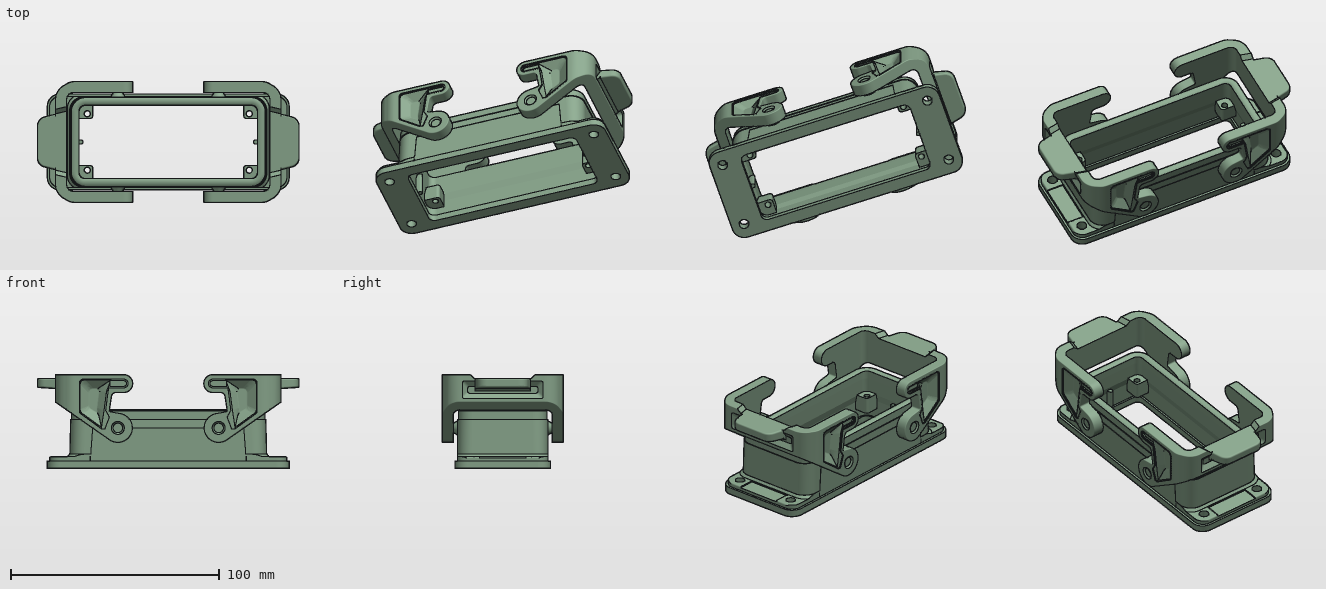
import cadquery as cq
import math


FLANGE_LENGTH = 116.0
FLANGE_WIDTH = 46.0
FLANGE_HEIGHT = 3.5
FLANGE_RADIUS = 6.0
EAR_END = 56.9
EAR_START = 37.5
EAR_TOP = 5.6
EAR_RADIUS = 5.0
EAR_EDGE_ROUND = 0.8
EAR_RECESS_WIDTH = 22.4
EAR_RECESS_DEPTH = 0.6
EAR_RECESS_START = 48.7
SKIRT_WIDTH = 1.1
SKIRT_TOP = 6.8
SCREW_HOLE_DIAMETER = 4.6
SCREW_HOLE_X = 51.8
SCREW_HOLE_Y = 16.0

BASE_HALF = (47.3, 21.8)
SEAM_HALF = (46.8, 21.6)
SEAM_HEIGHT = 23.5
RIM_HEIGHT = 28.2
WALL_RADIUS = 7.0
OPENING_HALF = (42.7, 17.5)
OPENING_RADIUS = 3.0
OPENING_DRAFT = 0.15
RIM_THICKNESS = 3.75
RIM_CROWN = 0.6
PANEL_BOTTOM_HALF = 37.4
PANEL_TOP_HALF = 36.2
PANEL_TOP = 19.4

UNDERCUT_DEPTH = 1.0
UNDERCUT_BOTTOM = 3.4
UNDERCUT_FULL = 12.3
UNDERCUT_TOP = 16.0

POST_X = 38.8
POST_Y = 13.5
POST_INNER_X = 36.1
POST_INNER_Y = 11.2
POST_BOTTOM = 8.6
POST_TOP = 16.6
POST_RADIUS = 1.5
POST_HOLE_DIAMETER = 2.8
PIN_RADIUS = 1.0
PIN_X = 41.8
PIN_TOP = 14.8

LEVER_BACK = -54.1
LEVER_HALF_WIDTH = 58.07 / 2
LEVER_THICKNESS = 5.4
LEVER_TOP = 45.0
LEVER_BACK_BOTTOM = 31.8
LEVER_CORNER_Y = 24.75
LEVER_BEVEL_ANGLE = 30.0
LEVER_BACK_RADIUS = 8.0
LEVER_ARM_RADIUS = 7.2
LEVER_INNER_RADIUS = 3.3
LEVER_EDGE_ROUND = 0.4
HUB_X = -24.15
HUB_Z = 19.4
HUB_RADIUS = 6.95
NOSE_X = -21.35
NOSE_RADIUS = 4.35
THROAT_TOP = (-26.9, LEVER_TOP - 2 * NOSE_RADIUS)
THROAT_BOTTOM = (-28.3, 27.2)
THROAT_TOP_ROUND = 2.0
THROAT_BOTTOM_ROUND = 0.8

PIVOT_BASE_RADIUS = 3.5
PIVOT_TIP_RADIUS = 2.3
PIVOT_EMBED = 1.5
DIMPLE_RADIUS = 3.1
DIMPLE_FLOOR_RADIUS = 2.3
DIMPLE_DEPTH = 0.8

POCKET_LIP = 0.6
POCKET_DEPTH = 3.5
POCKET_NOSE_RADIUS = 2.1
POCKET_LEFT = -42.6
POCKET_NOSE_Z = 40.7
POCKET_THROAT = [(-30.0, 27.8), (-28.2, 24.6), (-30.4, 18.9), (-31.9, 18.9)]
POCKET_THROAT_TOP = -28.6
POCKET_LEFT_BOTTOM = 26.7
WELL_MOUTH = [(-42.2, 42.4), (-27.5, 42.4), (-29.6, 36.8), (-30.8, 27.6), (-32.0, 19.7), (-42.2, 27.0)]
WELL_FLOOR = [(-37.9, 38.2), (-33.8, 38.2), (-33.0, 36.8), (-34.0, 29.0), (-33.5, 26.2), (-37.9, 28.8)]
WELL_FLOOR_ROUND = 0.8
WELL_CORNER_ROUND = 4.0
POCKET_CORNER_ROUND = 2.0
NOSE_SLOT_HALF_HEIGHT = 1.35
NOSE_SLOT_DEPTH = 1.4
NOSE_SLOT_START = -28.0

BACK_POCKET_HALF_WIDTH = 19.4
BACK_POCKET_BOTTOM = 33.4
BACK_POCKET_TOP = 41.9
BACK_POCKET_DEPTH = 2.0
BACK_POCKET_CORNER_ROUND = 2.0
BACK_POCKET_TAPER = 52.0

TAB_END = -125.5 / 2
TAB_ROOT = LEVER_BACK + LEVER_THICKNESS
TAB_TOP = 43.1
TAB_END_BOTTOM = 38.8
TAB_ROOT_BOTTOM = 38.2
TAB_GUSSET_BOTTOM = 37.2
TAB_END_HALF_WIDTH = 11.2
TAB_WALL_HALF_WIDTH = 13.3
TAB_CORNER_RADIUS = 4.6
TAB_EDGE_ROUND = 0.8
NOTCH_BOTTOM_HALF_WIDTH = 13.5
NOTCH_TOP_HALF_WIDTH = 15.7
NOTCH_SPLAY = 1.2


def block(half, radius, z_bottom, z_top):
    """Centred block with rounded vertical edges."""
    return (
        cq.Workplane("XY", origin=(0, 0, z_bottom))
        .rect(2 * half[0], 2 * half[1])
        .extrude(z_top - z_bottom)
        .edges("|Z").fillet(radius)
    )


def tapered_block(half_bottom, half_top, radius, z_bottom, z_top):
    """Centred block with drafted walls and rounded corners."""
    section_bottom = cq.Sketch().rect(2 * half_bottom[0], 2 * half_bottom[1]).vertices().fillet(radius)
    section_top = cq.Sketch().rect(2 * half_top[0], 2 * half_top[1]).vertices().fillet(radius)
    height = z_top - z_bottom
    return (
        cq.Workplane("XY", origin=(0, 0, z_bottom))
        .placeSketch(section_bottom, section_top.moved(cq.Location(cq.Vector(0, 0, height))))
        .loft(ruled=True)
    )


def grown(half, amount):
    return (half[0] + amount, half[1] + amount)


def corner_points(x, y):
    return [(sx * x, sy * y) for sx in (-1, 1) for sy in (-1, 1)]


def tangent_point(point, center, radius, side):
    """Point where a line from `point` touches a circle; `side` is +1 or -1."""
    dx = point[0] - center[0]
    dz = point[1] - center[1]
    angle = math.atan2(dz, dx) + side * math.acos(radius / math.hypot(dx, dz))
    return (center[0] + radius * math.cos(angle), center[1] + radius * math.sin(angle))


def make_flange():
    flange = block((FLANGE_LENGTH / 2, FLANGE_WIDTH / 2), FLANGE_RADIUS, 0, FLANGE_HEIGHT)
    ears = block((EAR_END, BASE_HALF[1]), EAR_RADIUS, FLANGE_HEIGHT, EAR_TOP)
    middle = cq.Workplane("XY").box(2 * EAR_START, FLANGE_WIDTH, 2 * EAR_TOP)
    rounded_ends = (
        cq.Workplane("XY").box(2 * EAR_END, FLANGE_WIDTH, 2 * EAR_TOP)
        .edges("|Y and >Z").fillet(EAR_EDGE_ROUND)
    )
    ears = ears.intersect(rounded_ends).cut(middle)
    recess_length = FLANGE_LENGTH / 2 - EAR_RECESS_START
    recess_x = EAR_RECESS_START + recess_length / 2
    recesses = (
        cq.Workplane("XY", origin=(0, 0, EAR_TOP - EAR_RECESS_DEPTH))
        .pushPoints([(-recess_x, 0), (recess_x, 0)])
        .rect(recess_length, EAR_RECESS_WIDTH).extrude(EAR_RECESS_DEPTH)
    )
    return flange.union(ears.cut(recesses))


def make_rim():
    """Upper wall with a crowned edge, swept around the opening."""
    half = RIM_THICKNESS / 2
    shoulder = RIM_HEIGHT - RIM_CROWN
    path_half = grown(OPENING_HALF, half)
    path_block = block(path_half, OPENING_RADIUS + half, SEAM_HEIGHT, RIM_HEIGHT)
    path = path_block.faces("<Z").wires()
    return (
        cq.Workplane("XZ", origin=(path_half[0], 0, 0))
        .moveTo(-half, SEAM_HEIGHT)
        .lineTo(half, SEAM_HEIGHT)
        .lineTo(half, shoulder)
        .threePointArc((0, RIM_HEIGHT), (-half, shoulder))
        .close()
        .sweep(path, transition="round")
    )


def make_walls():
    lower = tapered_block(BASE_HALF, SEAM_HALF, WALL_RADIUS, FLANGE_HEIGHT, SEAM_HEIGHT)
    return lower.union(make_rim()).union(make_panel()).union(make_skirt())


def make_panel():
    """Raised upright panels on the two long walls."""
    return (
        cq.Workplane("XZ", origin=(0, BASE_HALF[1], 0))
        .polyline([
            (-PANEL_BOTTOM_HALF, FLANGE_HEIGHT),
            (PANEL_BOTTOM_HALF, FLANGE_HEIGHT),
            (PANEL_TOP_HALF, PANEL_TOP),
            (-PANEL_TOP_HALF, PANEL_TOP),
        ])
        .close().extrude(2 * BASE_HALF[1])
    )


def make_skirt():
    """Sloped foot of the walls, kept within the width of the ears."""
    skirt = tapered_block(grown(BASE_HALF, SKIRT_WIDTH), BASE_HALF, WALL_RADIUS, EAR_TOP, SKIRT_TOP)
    return skirt.intersect(cq.Workplane("XY").box(FLANGE_LENGTH, 2 * BASE_HALF[1], 2 * SKIRT_TOP))


def make_cavity():
    """Through opening with an undercut that slopes back to the opening."""
    wide_half = grown(OPENING_HALF, UNDERCUT_DEPTH)
    wide_radius = OPENING_RADIUS + UNDERCUT_DEPTH
    drafted_half = grown(OPENING_HALF, OPENING_DRAFT)
    opening = block(OPENING_HALF, OPENING_RADIUS, 0, RIM_HEIGHT)
    drafted = tapered_block(drafted_half, OPENING_HALF, OPENING_RADIUS, UNDERCUT_TOP, SEAM_HEIGHT)
    wide = block(wide_half, wide_radius, UNDERCUT_BOTTOM, UNDERCUT_FULL)
    slope = tapered_block(wide_half, drafted_half, OPENING_RADIUS, UNDERCUT_FULL, UNDERCUT_TOP)
    return opening.union(drafted).union(wide).union(slope)


def make_posts():
    """Corner posts with screw holes; each reaches into the wall."""
    size_x = OPENING_HALF[0] + 2 * UNDERCUT_DEPTH - POST_INNER_X
    size_y = OPENING_HALF[1] + 2 * UNDERCUT_DEPTH - POST_INNER_Y
    centers = corner_points(POST_INNER_X + size_x / 2, POST_INNER_Y + size_y / 2)
    height = POST_TOP - POST_BOTTOM
    return (
        cq.Workplane("XY", origin=(0, 0, POST_BOTTOM))
        .pushPoints(centers).rect(size_x, size_y).extrude(height)
        .edges("|Z").fillet(POST_RADIUS)
        .cut(
            cq.Workplane("XY", origin=(0, 0, POST_BOTTOM))
            .pushPoints(corner_points(POST_X, POST_Y))
            .circle(POST_HOLE_DIAMETER / 2).extrude(height)
        )
    )


def make_end_pins():
    """Half-round locating ribs on the two end walls."""
    depth = OPENING_HALF[0] + 2 * UNDERCUT_DEPTH - PIN_X
    base = cq.Workplane("XY", origin=(0, 0, UNDERCUT_BOTTOM))
    height = PIN_TOP - UNDERCUT_BOTTOM
    rounds = base.pushPoints([(-PIN_X, 0), (PIN_X, 0)]).circle(PIN_RADIUS).extrude(height)
    webs = base.pushPoints([(s * (PIN_X + depth / 2), 0) for s in (-1, 1)])
    return rounds.union(webs.rect(depth, 2 * PIN_RADIUS).extrude(height))


def make_housing():
    screw_holes = (
        cq.Workplane("XY").pushPoints(corner_points(SCREW_HOLE_X, SCREW_HOLE_Y))
        .circle(SCREW_HOLE_DIAMETER / 2).extrude(EAR_TOP)
    )
    shell = make_flange().union(make_walls()).cut(screw_holes).cut(make_cavity())
    return shell.union(make_posts()).union(make_end_pins())


def lever_side():
    """Side profile of the lever, extruded across its full width."""
    hub = (HUB_X, HUB_Z)
    low_touch = tangent_point((LEVER_BACK, LEVER_BACK_BOTTOM), hub, HUB_RADIUS, 1)
    high_touch = tangent_point(THROAT_BOTTOM, hub, HUB_RADIUS, -1)
    side = (
        cq.Workplane("XZ", origin=(0, LEVER_HALF_WIDTH, 0))
        .moveTo(LEVER_BACK, LEVER_TOP)
        .lineTo(NOSE_X, LEVER_TOP)
        .threePointArc((NOSE_X + NOSE_RADIUS, LEVER_TOP - NOSE_RADIUS), (NOSE_X, THROAT_TOP[1]))
        .lineTo(*THROAT_TOP)
        .lineTo(*THROAT_BOTTOM)
        .lineTo(*high_touch)
        .threePointArc((HUB_X + HUB_RADIUS, HUB_Z), low_touch)
        .lineTo(LEVER_BACK, LEVER_BACK_BOTTOM)
        .close()
        .extrude(2 * LEVER_HALF_WIDTH)
    )
    side = side.edges(cq.NearestToPointSelector((THROAT_TOP[0], 0, THROAT_TOP[1]))).fillet(THROAT_TOP_ROUND)
    lower_throat = cq.NearestToPointSelector((THROAT_BOTTOM[0], 0, THROAT_BOTTOM[1]))
    return side.edges(lower_throat).fillet(THROAT_BOTTOM_ROUND)


def lever_plan():
    """U-shaped plan of the lever, open towards the middle of the part."""
    length = -LEVER_BACK
    bevel_rise = LEVER_HALF_WIDTH - LEVER_CORNER_Y
    bevel_x = LEVER_BACK + bevel_rise / math.tan(math.radians(LEVER_BEVEL_ANGLE))
    outer = (
        cq.Workplane("XY")
        .polyline([
            (0, -LEVER_HALF_WIDTH),
            (bevel_x, -LEVER_HALF_WIDTH),
            (LEVER_BACK, -LEVER_CORNER_Y),
            (LEVER_BACK, LEVER_CORNER_Y),
            (bevel_x, LEVER_HALF_WIDTH),
            (0, LEVER_HALF_WIDTH),
        ])
        .close().extrude(LEVER_TOP)
    )
    outer = outer.edges("|Z and <X").fillet(LEVER_BACK_RADIUS)
    for side in (-1, 1):
        corner = cq.NearestToPointSelector((bevel_x, side * LEVER_HALF_WIDTH, LEVER_TOP / 2))
        outer = outer.edges("|Z").edges(corner).fillet(LEVER_ARM_RADIUS)
    inner = (
        cq.Workplane("XY").rect(length, 2 * (LEVER_HALF_WIDTH - LEVER_THICKNESS)).extrude(LEVER_TOP)
        .translate((LEVER_BACK / 2 + LEVER_THICKNESS, 0, 0))
        .edges("|Z and <X").fillet(LEVER_INNER_RADIUS)
    )
    return outer.cut(inner)


def side_pocket():
    """Pocket in the -Y lever arm: a shallow recess plus a deeper tapered well."""
    face = cq.Workplane("XZ", origin=(0, -LEVER_HALF_WIDTH, 0))
    nose_top = POCKET_NOSE_Z + POCKET_NOSE_RADIUS
    nose_bottom = POCKET_NOSE_Z - POCKET_NOSE_RADIUS
    recess = (
        face.moveTo(POCKET_LEFT, nose_top)
        .lineTo(NOSE_X, nose_top)
        .threePointArc((NOSE_X + POCKET_NOSE_RADIUS, POCKET_NOSE_Z), (NOSE_X, nose_bottom))
        .lineTo(POCKET_THROAT_TOP, nose_bottom)
        .polyline(POCKET_THROAT, includeCurrent=True)
        .lineTo(POCKET_LEFT, POCKET_LEFT_BOTTOM)
        .close()
        .extrude(-POCKET_LIP)
        .edges("|Y and <X").fillet(POCKET_CORNER_ROUND)
    )
    well = (
        face.workplane(offset=-POCKET_LIP).polyline(WELL_MOUTH).close()
        .workplane(offset=POCKET_LIP - POCKET_DEPTH).polyline(WELL_FLOOR).close()
        .loft(ruled=True)
    )
    mid_y = -LEVER_HALF_WIDTH + (POCKET_LIP + POCKET_DEPTH) / 2
    for mouth, floor in ((WELL_MOUTH[0], WELL_FLOOR[0]), (WELL_MOUTH[-1], WELL_FLOOR[-1])):
        corner = ((mouth[0] + floor[0]) / 2, mid_y, (mouth[1] + floor[1]) / 2)
        well = well.edges(cq.NearestToPointSelector(corner)).fillet(WELL_CORNER_ROUND)
    well = well.faces(">Y").edges().fillet(WELL_FLOOR_ROUND)
    slot_top = POCKET_NOSE_Z + NOSE_SLOT_HALF_HEIGHT
    slot_bottom = POCKET_NOSE_Z - NOSE_SLOT_HALF_HEIGHT
    nose_slot = (
        face.moveTo(NOSE_SLOT_START, slot_top)
        .lineTo(NOSE_X, slot_top)
        .threePointArc((NOSE_X + NOSE_SLOT_HALF_HEIGHT, POCKET_NOSE_Z), (NOSE_X, slot_bottom))
        .lineTo(NOSE_SLOT_START, slot_bottom)
        .close()
        .extrude(-NOSE_SLOT_DEPTH)
    )
    return recess.union(well).union(nose_slot)


def dimple():
    """Conical recess in the -Y end of the pivot."""
    return (
        cq.Workplane("XZ", origin=(HUB_X, -LEVER_HALF_WIDTH, HUB_Z)).circle(DIMPLE_RADIUS)
        .workplane(offset=-DIMPLE_DEPTH).circle(DIMPLE_FLOOR_RADIUS).loft()
    )


def pivot():
    """Conical boss between the housing wall and the -Y lever arm."""
    wall = -SEAM_HALF[1]
    gap = LEVER_HALF_WIDTH - LEVER_THICKNESS - SEAM_HALF[1]
    cone = (
        cq.Workplane("XZ", origin=(HUB_X, wall, HUB_Z)).circle(PIVOT_BASE_RADIUS)
        .workplane(offset=gap).circle(PIVOT_TIP_RADIUS).loft()
    )
    root = (
        cq.Workplane("XZ", origin=(HUB_X, wall, HUB_Z)).circle(PIVOT_BASE_RADIUS).extrude(-PIVOT_EMBED)
    )
    return cone.union(root)


def back_pocket():
    """Tapered pocket in the outer face of the lever back."""
    height = BACK_POCKET_TOP - BACK_POCKET_BOTTOM
    return (
        cq.Workplane("YZ", origin=(LEVER_BACK, 0, BACK_POCKET_BOTTOM + height / 2))
        .rect(2 * BACK_POCKET_HALF_WIDTH, height)
        .extrude(BACK_POCKET_DEPTH, taper=BACK_POCKET_TAPER)
        .edges("not (|Y or |Z)").fillet(BACK_POCKET_CORNER_ROUND)
    )


def notch_outline(splay):
    bottom = NOTCH_BOTTOM_HALF_WIDTH + splay
    top = NOTCH_TOP_HALF_WIDTH + splay
    return [(-bottom, TAB_TOP), (bottom, TAB_TOP), (top, LEVER_TOP), (-top, LEVER_TOP)]


def top_notch():
    """Slope-sided notch in the lever back, level with the tab."""
    return (
        cq.Workplane("YZ", origin=(LEVER_BACK, 0, 0))
        .polyline(notch_outline(0)).close()
        .workplane(offset=LEVER_THICKNESS)
        .polyline(notch_outline(NOTCH_SPLAY)).close()
        .loft(ruled=True)
    )


def tab():
    """Finger tab on the lever back, slightly thicker at the root."""
    plan = (
        cq.Workplane("XY")
        .polyline([
            (TAB_ROOT, -TAB_WALL_HALF_WIDTH),
            (LEVER_BACK, -TAB_WALL_HALF_WIDTH),
            (TAB_END, -TAB_END_HALF_WIDTH),
            (TAB_END, TAB_END_HALF_WIDTH),
            (LEVER_BACK, TAB_WALL_HALF_WIDTH),
            (TAB_ROOT, TAB_WALL_HALF_WIDTH),
        ])
        .close().extrude(LEVER_TOP)
        .edges("|Z and <X").fillet(TAB_CORNER_RADIUS)
    )
    profile = (
        cq.Workplane("XZ", origin=(0, LEVER_HALF_WIDTH, 0))
        .polyline([
            (TAB_END, TAB_END_BOTTOM),
            (TAB_END, TAB_TOP),
            (TAB_ROOT, TAB_TOP),
            (TAB_ROOT, TAB_GUSSET_BOTTOM),
            (LEVER_BACK + BACK_POCKET_DEPTH, TAB_GUSSET_BOTTOM),
            (LEVER_BACK, TAB_ROOT_BOTTOM),
        ])
        .close().extrude(2 * LEVER_HALF_WIDTH)
    )
    body = plan.intersect(profile)
    free_end = cq.selectors.BoxSelector(
        (TAB_END - TAB_EDGE_ROUND, -LEVER_HALF_WIDTH, 0),
        (LEVER_BACK - TAB_EDGE_ROUND, LEVER_HALF_WIDTH, LEVER_TOP),
    )
    return body.edges(free_end).edges("not |Z").fillet(TAB_EDGE_ROUND)


def both_sides(feature):
    """A -Y feature together with its mirror image on +Y."""
    return feature.union(feature.mirror("XZ"))


def make_lever():
    lever = lever_side().intersect(lever_plan())
    lever = lever.faces("<Y or >Y").edges().fillet(LEVER_EDGE_ROUND)
    lever = lever.cut(both_sides(side_pocket())).cut(both_sides(dimple()))
    lever = lever.cut(back_pocket()).cut(top_notch())
    return lever.union(tab()).union(both_sides(pivot()))


lever = make_lever()
result = make_housing().union(lever).union(lever.mirror("YZ"))